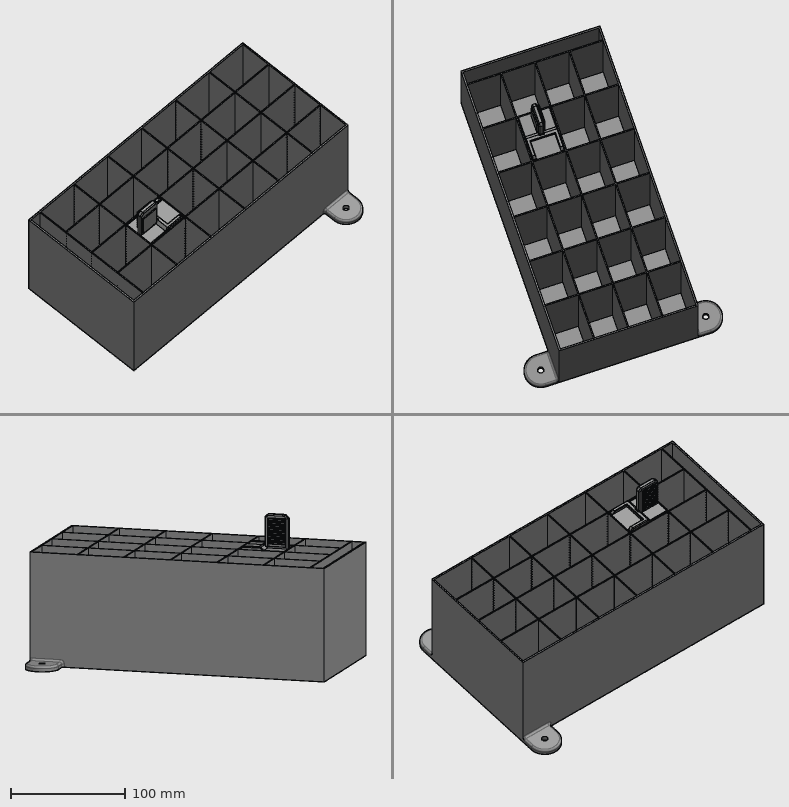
import cadquery as cq

length = 269.3
box_width = 128.7
box_height = 101.3
overall_width = 182.3
wall = 1.5
back_wall = 1.3
partition = 1.0
columns = 4
rows = 6
cell_depth = 41.5
row_pitch = cell_depth + partition
column_pitch = (box_width - 2 * wall + partition) / columns
cell_width = column_pitch - partition
trough_depth = length - back_wall - wall - rows * row_pitch

ear_width = 29.5
ear_radius = ear_width / 2
ear_thickness = 4.8
ear_round = 2.0
ear_blend = 2.0
junction_margin = 0.3
ear_hole = 5.5
ear_hole_x = overall_width / 2 - ear_radius
ear_y = length / 2 - ear_radius

block_column = 2
block_row = 4
block_x = -box_width / 2 + wall + block_column * column_pitch + cell_width / 2
block_front = length / 2 - back_wall - block_row * row_pitch - cell_depth
block_back = block_front + cell_depth
side_clearance = 0.3
block_width = cell_width - 2 * side_clearance
step_height = 2.7
rim_top = box_height + step_height
step_start = 18.5
rim_setback = 0.8
edge_chamfer = 0.8
recess_width = 22.5
recess_start = 24.5
recess_chamfer = 0.5

fin_top = 131.5
fin_width = 4.8
fin_length = 21.5
fin_front_corner = 3.2
fin_back_corner = 2.7
foot_size = 0.8
fin_edge = 1.0
pad_thickness = 1.0
pad_start = 2.2
pad_length = 16.2
pad_bottom = box_height + 1.5
grip_pad_top = fin_top - 3.2
plain_pad_top = fin_top - 7.0
ridge_count = 8
ridge_pitch = 3.0
ridge_base = 2.5
ridge_crest = 1.0
ridge_depth = 0.8


def box_between(x0, x1, y0, y1, z0, z1):
    """Axis-aligned box given by its limits."""
    return cq.Workplane("XY").box(x1 - x0, y1 - y0, z1 - z0, centered=False).translate((x0, y0, z0))


def make_ear(side):
    """Round-ended ear with a rounded rim, reaching into the side wall, without its hole."""
    wall_x = box_width / 2
    ear = (
        cq.Workplane("XY")
        .moveTo(wall_x - wall, ear_y - ear_radius)
        .lineTo(ear_hole_x, ear_y - ear_radius)
        .threePointArc((overall_width / 2, ear_y), (ear_hole_x, ear_y + ear_radius))
        .lineTo(wall_x - wall, ear_y + ear_radius)
        .close()
        .extrude(ear_thickness)
    )
    ear = ear.faces(">Z").edges("not <X").fillet(ear_round)
    return ear if side > 0 else ear.mirror("YZ")


def blend_ear(tray, side):
    """Round the inside corner where the top and front of an ear meet the side wall."""
    wall_x = side * box_width / 2
    front_y = length / 2 - ear_width
    junction = cq.selectors.BoxSelector(
        (wall_x - junction_margin, front_y - junction_margin, junction_margin),
        (wall_x + junction_margin, length / 2 - junction_margin, ear_thickness + junction_margin),
    )
    return tray.edges(junction).fillet(ear_blend)


def make_tray():
    """Open tray with a grid of cells, a full-width front trough and two ears."""
    tray = box_between(-box_width / 2, box_width / 2, -length / 2, length / 2, 0, box_height)
    for side in (-1, 1):
        tray = tray.union(make_ear(side))
        tray = blend_ear(tray, side)
    first_x = -box_width / 2 + wall
    for column in range(columns):
        x = first_x + column * column_pitch
        for row in range(rows):
            y = length / 2 - back_wall - row * row_pitch - cell_depth
            tray = tray.cut(box_between(x, x + cell_width, y, y + cell_depth, wall, box_height))
    trough_y = -length / 2 + wall
    tray = tray.cut(box_between(first_x, -first_x, trough_y, trough_y + trough_depth, wall, box_height))
    holes = [(-ear_hole_x, ear_y), (ear_hole_x, ear_y)]
    return tray.cut(cq.Workplane("XY").pushPoints(holes).circle(ear_hole / 2).extrude(ear_thickness))


def make_fin():
    """Upright fin with bevelled edges, a ridged grip pad on -X and a plain pad on +X."""
    back = block_front + fin_length
    core = (
        cq.Workplane("YZ")
        .polyline([
            (block_front, box_height),
            (back, box_height),
            (back, fin_top - fin_back_corner),
            (back - fin_back_corner, fin_top),
            (block_front + fin_front_corner, fin_top),
            (block_front, fin_top - fin_front_corner),
        ])
        .close()
        .extrude(fin_width / 2, both=True)
    )
    core = core.faces("<X or >X").edges("not <Z").chamfer(fin_edge)
    face = fin_width / 2
    y0 = block_front + pad_start
    y1 = y0 + pad_length
    fin = core.union(box_between(-face - pad_thickness, 0, y0, y1, pad_bottom, grip_pad_top))
    fin = fin.union(box_between(0, face + pad_thickness, y0, y1, pad_bottom, plain_pad_top))
    grip_x = -face - pad_thickness
    for index in range(ridge_count):
        z = grip_pad_top - ridge_base / 2 - index * ridge_pitch
        ridge = (
            cq.Workplane("XZ", origin=(0, y1, 0))
            .polyline([
                (grip_x, z - ridge_base / 2),
                (grip_x - ridge_depth, z - ridge_crest / 2),
                (grip_x - ridge_depth, z + ridge_crest / 2),
                (grip_x, z + ridge_base / 2),
            ])
            .close()
            .extrude(pad_length)
        )
        fin = fin.union(ridge)
    foot = (
        cq.Workplane("YZ")
        .polyline([
            (back - fin_edge, rim_top),
            (back + foot_size, rim_top),
            (back, rim_top + foot_size),
            (back - fin_edge, rim_top + foot_size),
        ])
        .close()
        .extrude(face, both=True)
    )
    return fin.union(foot).translate((block_x, 0, 0))


def make_block():
    """Block filling a cell: low front pad, sloped step and a rim round a shallow recess."""
    step_y = block_front + step_start
    block = (
        cq.Workplane("YZ")
        .polyline([
            (block_front, wall),
            (block_back, wall),
            (block_back, box_height),
            (block_back - rim_setback, box_height),
            (block_back - rim_setback - step_height, rim_top),
            (step_y + step_height, rim_top),
            (step_y, box_height),
            (block_front, box_height),
        ])
        .close()
        .extrude(block_width / 2, both=True)
    )
    top_zone = cq.selectors.BoxSelector(
        (-block_width, block_front + edge_chamfer, box_height / 2),
        (block_width, block_back - edge_chamfer / 2, 2 * box_height),
    )
    block = block.faces("<X or >X").edges(top_zone).chamfer(edge_chamfer)
    y0 = block_front + recess_start
    recess = box_between(-recess_width / 2, recess_width / 2, y0, block_back, box_height, rim_top)
    block = block.cut(recess)
    lip = (
        cq.Workplane("XY", origin=(0, (y0 + block_back) / 2, rim_top - recess_chamfer))
        .rect(recess_width, block_back - y0)
        .workplane(offset=recess_chamfer)
        .rect(recess_width + 2 * recess_chamfer, block_back - y0 + 2 * recess_chamfer)
        .loft(ruled=True)
    )
    return block.cut(lip).translate((block_x, 0, 0))


tray = make_tray()
fin = make_fin()
block = make_block().cut(fin)
result = cq.Compound.makeCompound([body.solids().val() for body in (tray, block, fin)])